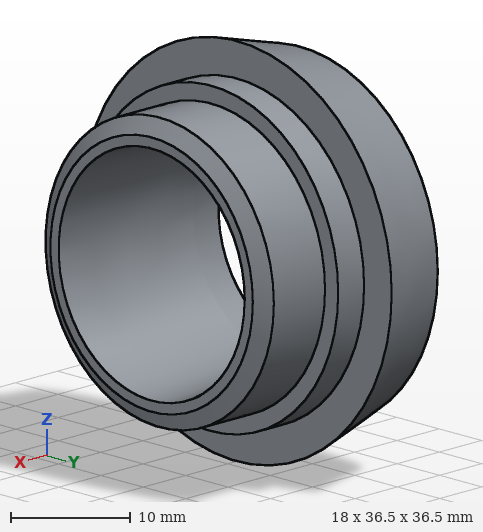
import cadquery as cq

total_length = 18.0
face_rise = 0.47
flange_end = 7.92
shoulder_end = 11.0
chamfer_length = 0.95
taper_start = 2.95

flange_front_diameter = 32.55
flange_diameter = 36.5
shoulder_diameter = 30.0
spigot_diameter = 26.9
bore_diameter = 20.0
front_rim_diameter = 21.0
taper_end_diameter = 21.9
chamfer_height = 1.55

half_section = [
    (0, front_rim_diameter / 2),
    (face_rise, flange_front_diameter / 2),
    (flange_end, flange_diameter / 2),
    (flange_end, shoulder_diameter / 2),
    (shoulder_end, shoulder_diameter / 2),
    (shoulder_end, spigot_diameter / 2),
    (total_length - chamfer_length, spigot_diameter / 2),
    (total_length, spigot_diameter / 2 - chamfer_height),
    (total_length, taper_end_diameter / 2),
    (taper_start, bore_diameter / 2),
    (0, bore_diameter / 2),
]

result = (
    cq.Workplane("XY")
    .polyline(half_section)
    .close()
    .revolve(360, (0, 0, 0), (1, 0, 0))
)